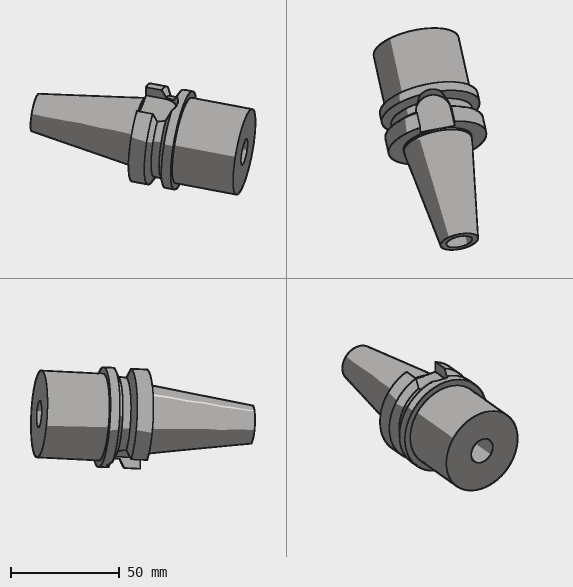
import cadquery as cq

total_length = 99.3
taper_end = 48.4
collar_step = 49.5
flange_start = 50.3
flange_length = 20.1
flange_end = flange_start + flange_length

bore_diameter = 12.0
taper_small_diameter = 17.7
taper_large_diameter = 31.8
collar_diameter = 32.0
flange_diameter = 46.0
body_diameter = 40.0

groove_centre = flange_start + 11.6
groove_rim_width = 8.1
groove_floor_width = 3.8
groove_floor_diameter = 38.0

slot_width = 16.1
slot_length = 17.2
slot_floor_height = 16.3


def make_turned_body():
    """Revolve the taper, collar, grooved flange and rear cylinder about X."""
    rim_start = groove_centre - groove_rim_width / 2
    rim_end = groove_centre + groove_rim_width / 2
    floor_start = groove_centre - groove_floor_width / 2
    floor_end = groove_centre + groove_floor_width / 2
    position_and_diameter = [
        (0, bore_diameter),
        (0, taper_small_diameter),
        (taper_end, taper_large_diameter),
        (collar_step, taper_large_diameter),
        (collar_step, collar_diameter),
        (flange_start, collar_diameter),
        (flange_start, flange_diameter),
        (rim_start, flange_diameter),
        (floor_start, groove_floor_diameter),
        (floor_end, groove_floor_diameter),
        (rim_end, flange_diameter),
        (flange_end, flange_diameter),
        (flange_end, body_diameter),
        (total_length, body_diameter),
        (total_length, bore_diameter),
    ]
    profile = [(x, diameter / 2) for x, diameter in position_and_diameter]
    return cq.Workplane("XY").polyline(profile).close().revolve(360, (0, 0, 0), (1, 0, 0))


def make_drive_slot():
    """Cutter for the slot on the +Z side, reaching past the flange rim."""
    slot_radius = slot_width / 2
    arc_end = flange_start + slot_length
    arc_start = arc_end - slot_radius
    return (
        cq.Workplane("XY", origin=(0, 0, slot_floor_height))
        .moveTo(flange_start, -slot_radius)
        .lineTo(arc_start, -slot_radius)
        .threePointArc((arc_end, 0), (arc_start, slot_radius))
        .lineTo(flange_start, slot_radius)
        .close()
        .extrude(flange_diameter / 2)
    )


result = make_turned_body()
drive_slot = make_drive_slot()
for angle in (0, 180):
    result = result.cut(drive_slot.rotate((0, 0, 0), (1, 0, 0), angle))